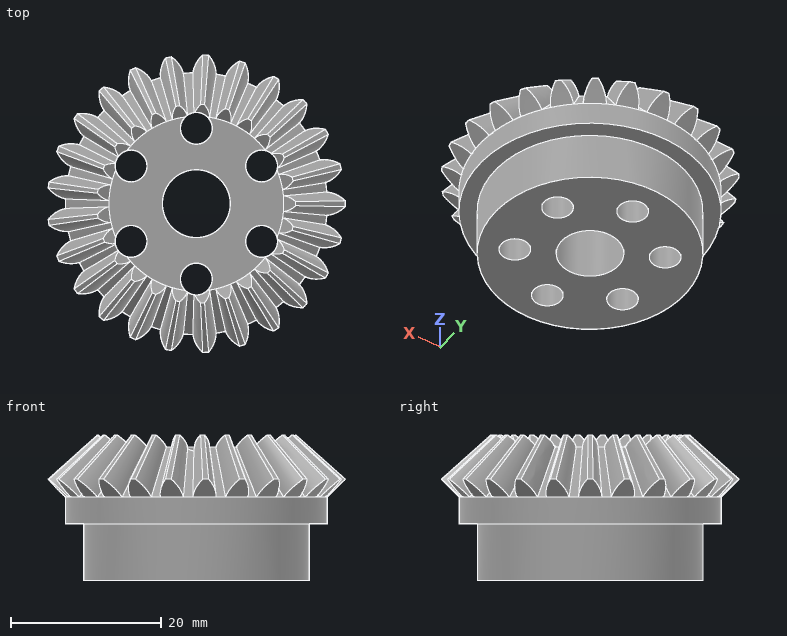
import math

import cadquery as cq

TOOTH_COUNT = 25
PITCH_DIAMETER = 37.5
PITCH_ANGLE = math.radians(45)
DEDENDUM_FACTOR = 1.25
FACE_SCALE = 2 / 3

ROOT_THICKNESS = 3.13
PITCH_THICKNESS = 2.35
TIP_THICKNESS = 0.8

HUB_DIAMETER = 30.0
HUB_HEIGHT = 7.52
RIM_TOP = 11.1
BORE_DIAMETER = 9.0
BOLT_HOLE_DIAMETER = 4.2
BOLT_CIRCLE_RADIUS = 10.0
BOLT_HOLE_COUNT = 6

pitch_radius = PITCH_DIAMETER / 2
module = PITCH_DIAMETER / TOOTH_COUNT
addendum = module
dedendum = DEDENDUM_FACTOR * module
root_radius = pitch_radius - dedendum * math.cos(PITCH_ANGLE)
tip_radius = pitch_radius + addendum * math.cos(PITCH_ANGLE)
pitch_height = RIM_TOP + dedendum * math.sin(PITCH_ANGLE)
tip_height = pitch_height + addendum * math.sin(PITCH_ANGLE)
apex_height = pitch_height + pitch_radius / math.tan(PITCH_ANGLE)

OVERLAP = 0.4
LARGE_END_SCALE = 1.05
SMALL_END_SCALE = 0.95 * FACE_SCALE


def toward_apex(radius, height, scale):
    """Scale an (r, z) point about the cone apex."""
    return radius * scale, apex_height + (height - apex_height) * scale


def make_body():
    """Hub, rim and root cone as one turned profile."""
    face_radius, face_height = toward_apex(root_radius, RIM_TOP, FACE_SCALE)
    return (
        cq.Workplane("XZ")
        .moveTo(0, 0)
        .lineTo(HUB_DIAMETER / 2, 0)
        .lineTo(HUB_DIAMETER / 2, HUB_HEIGHT)
        .lineTo(root_radius, HUB_HEIGHT)
        .lineTo(root_radius, RIM_TOP)
        .lineTo(face_radius, face_height)
        .lineTo(0, face_height)
        .close()
        .revolve(360, (0, 0), (0, 1))
    )


def tooth_section(scale):
    """Tooth outline square to the pitch line at +X, scaled about the apex."""
    radius, height = toward_apex(pitch_radius, pitch_height, scale)
    depth_direction = cq.Vector(math.cos(PITCH_ANGLE), 0, math.sin(PITCH_ANGLE))
    pitch_line = cq.Vector(-math.sin(PITCH_ANGLE), 0, math.cos(PITCH_ANGLE))
    plane = cq.Plane(origin=(radius, 0, height), xDir=depth_direction, normal=pitch_line)

    tip = addendum * scale
    root = -dedendum * scale
    bottom = root - OVERLAP
    half_tip = TIP_THICKNESS / 2 * scale
    half_pitch = PITCH_THICKNESS / 2 * scale
    half_root = ROOT_THICKNESS / 2 * scale
    return (
        cq.Workplane(plane)
        .moveTo(bottom, -half_root)
        .lineTo(root, -half_root)
        .threePointArc((0, -half_pitch), (tip, -half_tip))
        .lineTo(tip, half_tip)
        .threePointArc((0, half_pitch), (root, half_root))
        .lineTo(bottom, half_root)
        .close()
        .val()
    )


def make_tooth_ring():
    """Turned ring whose cone faces bound both tooth ends."""
    low_radius = root_radius - OVERLAP
    low_height = RIM_TOP - OVERLAP
    high_radius = tip_radius + OVERLAP
    high_height = tip_height + OVERLAP
    return (
        cq.Workplane("XZ")
        .moveTo(low_radius, low_height)
        .lineTo(high_radius, high_height)
        .lineTo(*toward_apex(high_radius, high_height, FACE_SCALE))
        .lineTo(*toward_apex(low_radius, low_height, FACE_SCALE))
        .close()
        .revolve(360, (0, 0), (0, 1))
    )


def make_tooth():
    """One tooth, tapering toward the apex and ending on the two end cones."""
    sections = [tooth_section(LARGE_END_SCALE), tooth_section(SMALL_END_SCALE)]
    blank = cq.Workplane(cq.Solid.makeLoft(sections, True))
    return blank.intersect(make_tooth_ring())


def add_teeth(body):
    """Join equally spaced teeth to the body, the first one on +X."""
    tooth = make_tooth().val()
    step = 360 / TOOTH_COUNT
    axis = (cq.Vector(0, 0, 0), cq.Vector(0, 0, 1))
    teeth = [tooth.rotate(*axis, step * index) for index in range(TOOTH_COUNT)]
    return cq.Workplane(body.val().fuse(*teeth))


def cut_holes(gear):
    """Centre bore and bolt circle, all the way through."""
    bore = cq.Workplane("XY").circle(BORE_DIAMETER / 2).extrude(apex_height)
    bolt_holes = (
        cq.Workplane("XY")
        .polarArray(BOLT_CIRCLE_RADIUS, 90, 360, BOLT_HOLE_COUNT)
        .circle(BOLT_HOLE_DIAMETER / 2)
        .extrude(apex_height)
    )
    return gear.cut(bore).cut(bolt_holes)


gear = cut_holes(add_teeth(make_body()))
result = cq.Workplane(gear.solids().val())